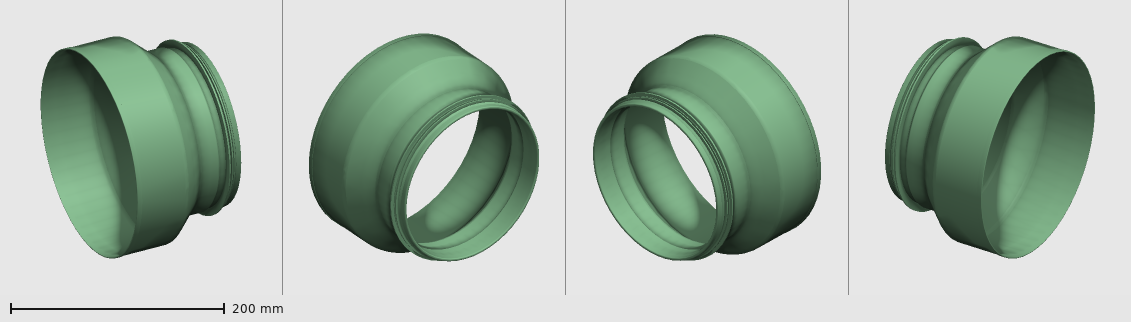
import cadquery as cq
import math

LENGTH = 120.0
RIM_RADIUS = 101.2
SHEET = 0.5

WIDE_RADIUS = RIM_RADIUS - SHEET
NECK_RADIUS = 79.5
SEAT_RADIUS = 77.1

RIM_LENGTH = 5.0
CONE_START = 53.0
CONE_END = 77.0
SEAT_START = 98.4
COLLAR_LENGTH = 5.7

WIDE_BEND = 6.5
NECK_BEND = 3.8
SEAT_BEND = 1.6
COLLAR_BEND = 1.2

GASKET_BODY_RADIUS = NECK_RADIUS - SHEET
GASKET_FRONT = 104.6
GASKET_BACK = LENGTH - COLLAR_BEND
BEAD_RADIUS = 80.5
BEAD_LENGTH = 2.5
SMALL_FIN_RADIUS = 82.2
SMALL_FIN_FRONT = 109.0
SMALL_FIN_THICKNESS = 1.0
STEP_RADIUS = 81.5
STEP_THICKNESS = 0.6
LARGE_FIN_RADIUS = 84.8
LARGE_FIN_THICKNESS = 1.5


def revolve_profile(profile):
    """Turn a closed (radius, Y) profile once around the Y axis."""
    return profile.close().revolve(360, (0, 0, 0), (0, 1, 0))


def fillet_circle(body, radius, y, fillet):
    """Round the circular edge of the given radius at height y."""
    reach = radius + SHEET / 5
    inner = radius - SHEET / 5
    half = SHEET / 5
    selector = cq.selectors.BoxSelector((-reach, y - half, -reach), (reach, y + half, reach), boundingbox=True)
    edges = [e for e in body.edges(selector).vals() if e.BoundingBox().xmax > inner]
    return body.newObject(edges).fillet(fillet)


def make_reducer():
    """Thin-walled reducer: wide pipe, cone, neck, gasket seat and folded collar."""
    cone_angle = math.atan2(WIDE_RADIUS - NECK_RADIUS, CONE_END - CONE_START)
    cone_shift = SHEET * math.tan(cone_angle / 2)
    seat_rise = NECK_RADIUS - SEAT_RADIUS
    seat_shift = SHEET * math.tan(math.radians(45) / 2)
    neck_end = SEAT_START - seat_rise
    wide_bore = WIDE_RADIUS - SHEET
    neck_bore = NECK_RADIUS - SHEET
    seat_bore = SEAT_RADIUS - SHEET
    outer = [
        (RIM_RADIUS, 0),
        (RIM_RADIUS, RIM_LENGTH),
        (WIDE_RADIUS, RIM_LENGTH),
        (WIDE_RADIUS, CONE_START),
        (NECK_RADIUS, CONE_END),
        (NECK_RADIUS, neck_end),
        (SEAT_RADIUS, SEAT_START),
    ]
    collar = [
        (SEAT_RADIUS, LENGTH - SHEET),
        (neck_bore, LENGTH - SHEET),
        (neck_bore, LENGTH - COLLAR_LENGTH),
        (NECK_RADIUS, LENGTH - COLLAR_LENGTH),
        (NECK_RADIUS, LENGTH),
        (seat_bore, LENGTH),
    ]
    inner = [
        (seat_bore, SEAT_START - seat_shift),
        (neck_bore, neck_end - seat_shift),
        (neck_bore, CONE_END - cone_shift),
        (wide_bore, CONE_START - cone_shift),
        (wide_bore, 0),
    ]
    body = revolve_profile(cq.Workplane("XY").polyline(outer + collar + inner))
    bends = [
        (RIM_RADIUS, 0, SHEET),
        (WIDE_RADIUS, CONE_START, WIDE_BEND),
        (wide_bore, CONE_START - cone_shift, WIDE_BEND - SHEET),
        (NECK_RADIUS, CONE_END, NECK_BEND),
        (neck_bore, CONE_END - cone_shift, NECK_BEND + SHEET),
        (NECK_RADIUS, neck_end, SEAT_BEND),
        (neck_bore, neck_end - seat_shift, SEAT_BEND - SHEET),
        (SEAT_RADIUS, SEAT_START, SEAT_BEND - SHEET),
        (seat_bore, SEAT_START - seat_shift, SEAT_BEND),
        (NECK_RADIUS, LENGTH, COLLAR_BEND),
        (neck_bore, LENGTH - SHEET, COLLAR_BEND - SHEET),
        (seat_bore, LENGTH, COLLAR_BEND),
        (SEAT_RADIUS, LENGTH - SHEET, COLLAR_BEND - SHEET),
    ]
    for radius, y, bend in bends:
        body = fillet_circle(body, radius, y, bend)
    return body


def make_gasket():
    """Rubber ring held under the collar, with a bead and two sealing fins."""
    large_fin_back = GASKET_FRONT + LARGE_FIN_THICKNESS
    step_back = large_fin_back + STEP_THICKNESS
    small_fin_back = SMALL_FIN_FRONT + SMALL_FIN_THICKNESS
    collar_edge = LENGTH - COLLAR_LENGTH
    bead_front = collar_edge - BEAD_LENGTH
    profile = [
        (SEAT_RADIUS, GASKET_FRONT),
        (LARGE_FIN_RADIUS, GASKET_FRONT),
        (LARGE_FIN_RADIUS, large_fin_back),
        (STEP_RADIUS, large_fin_back),
        (STEP_RADIUS, step_back),
        (GASKET_BODY_RADIUS, step_back),
        (GASKET_BODY_RADIUS, SMALL_FIN_FRONT),
        (SMALL_FIN_RADIUS, SMALL_FIN_FRONT),
        (SMALL_FIN_RADIUS, small_fin_back),
        (GASKET_BODY_RADIUS, small_fin_back),
        (GASKET_BODY_RADIUS, bead_front),
        (BEAD_RADIUS, bead_front),
        (GASKET_BODY_RADIUS, collar_edge),
        (GASKET_BODY_RADIUS, GASKET_BACK),
        (SEAT_RADIUS, GASKET_BACK),
    ]
    return revolve_profile(cq.Workplane("XY").polyline(profile))


reducer = make_reducer()
gasket = make_gasket()
result = cq.Compound.makeCompound([reducer.val(), gasket.val()])